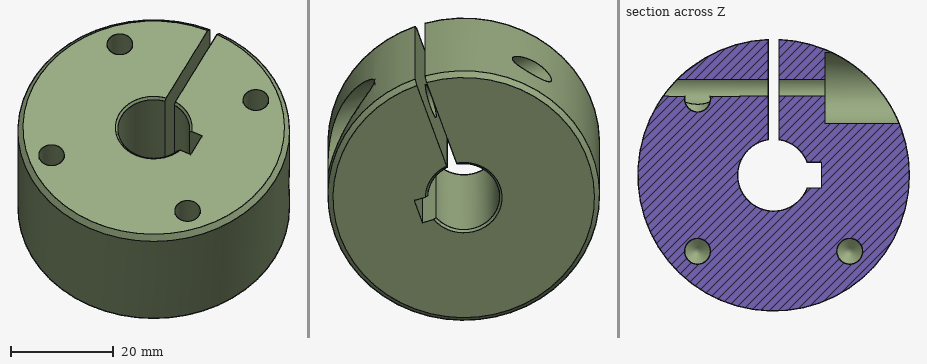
import cadquery as cq
import math

outer_diameter = 53.0
height = 28.0
rim_chamfer = 1.0

bore_diameter = 14.0
bore_chamfer = 0.5
keyway_width = 5.0
keyway_reach = 9.35
slit_width = 2.0

face_hole_diameter = 5.0
face_hole_circle_radius = 21.0
face_hole_depth = 15.0
drill_tip_angle = 118.0

screw_hole_diameter = 6.75
screw_hole_y = 17.0
screw_hole_z = 11.0
head_pocket_diameter = 15.0
head_seat_x = 10.0

outer_radius = outer_diameter / 2


def collar():
    body = cq.Workplane("XY").circle(outer_radius).extrude(height)
    body = body.faces("<Z or >Z").chamfer(rim_chamfer)
    body = body.cut(cq.Workplane("XY").circle(bore_diameter / 2).extrude(height))
    return body.edges(cq.selectors.RadiusNthSelector(0)).chamfer(bore_chamfer)


def keyway():
    return cq.Workplane("XY").box(keyway_reach, keyway_width, height, centered=(False, True, False))


def slit():
    return cq.Workplane("XY").box(slit_width, outer_radius, height, centered=(True, False, False))


def drilled_hole(angle):
    """Blind hole with a conical drill tip, opening in the top face."""
    radius = face_hole_diameter / 2
    tip_length = radius / math.tan(math.radians(drill_tip_angle / 2))
    floor = height - face_hole_depth
    profile = [(0, height), (radius, height), (radius, floor), (0, floor - tip_length)]
    drill = cq.Workplane("XZ").polyline(profile).close().revolve(360, (0, 0), (0, 1))
    return drill.translate((face_hole_circle_radius, 0, 0)).rotate((0, 0, 0), (0, 0, 1), angle)


def screw_hole():
    start = cq.Workplane("YZ", origin=(-outer_radius, 0, 0)).center(screw_hole_y, screw_hole_z)
    return start.circle(screw_hole_diameter / 2).extrude(outer_diameter)


def screw_head_pocket():
    start = cq.Workplane("YZ", origin=(head_seat_x, 0, 0)).center(screw_hole_y, screw_hole_z)
    return start.circle(head_pocket_diameter / 2).extrude(outer_radius - head_seat_x)


result = collar().cut(keyway()).cut(slit()).cut(screw_hole()).cut(screw_head_pocket())
for hole_angle in (45, 135, 225, 315):
    result = result.cut(drilled_hole(hole_angle))